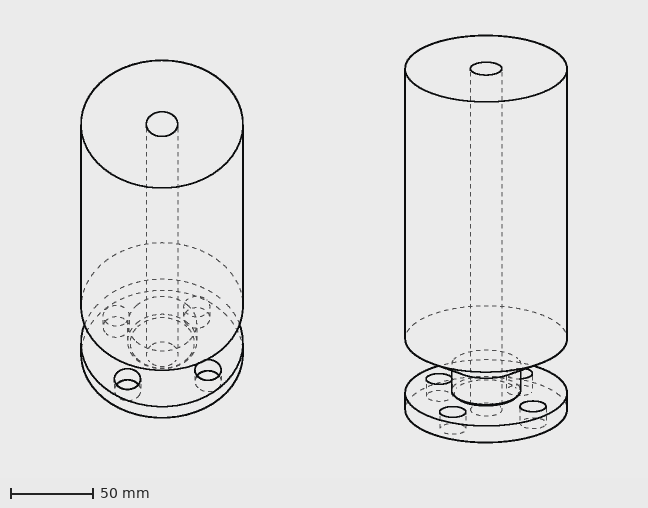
import cadquery as cq

total_height = 227.0
body_diameter = 98.5
flange_diameter = body_diameter

flange_thickness = 11.1
cone_bottom = 30.2
cone_top = 47.0

neck_diameter = 42.0
neck_chamfer = 1.5

bore_diameter = 19.0
bolt_hole_diameter = 16.0
bolt_circle_diameter = 70.0
bolt_hole_count = 4

body_radius = body_diameter / 2
flange_radius = flange_diameter / 2
neck_radius = neck_diameter / 2


def turned_blank():
    """Revolve the half profile of flange, chamfered neck, cone and cylindrical body."""
    half_profile = [
        (0, 0),
        (flange_radius, 0),
        (flange_radius, flange_thickness),
        (neck_radius - neck_chamfer, flange_thickness),
        (neck_radius, flange_thickness + neck_chamfer),
        (neck_radius, cone_bottom),
        (body_radius, cone_top),
        (body_radius, total_height),
        (0, total_height),
    ]
    return cq.Workplane("XZ").polyline(half_profile).close().revolve(360, (0, 0), (0, 1))


def axial_bore():
    """Straight hole along the axis through the full height."""
    return cq.Workplane("XY").circle(bore_diameter / 2).extrude(total_height)


def bolt_holes():
    """Through holes in the flange, evenly spaced with the first on the X axis."""
    return (
        cq.Workplane("XY")
        .polarArray(bolt_circle_diameter / 2, 0, 360, bolt_hole_count)
        .circle(bolt_hole_diameter / 2)
        .extrude(flange_thickness)
    )


result = turned_blank().cut(axial_bore()).cut(bolt_holes())